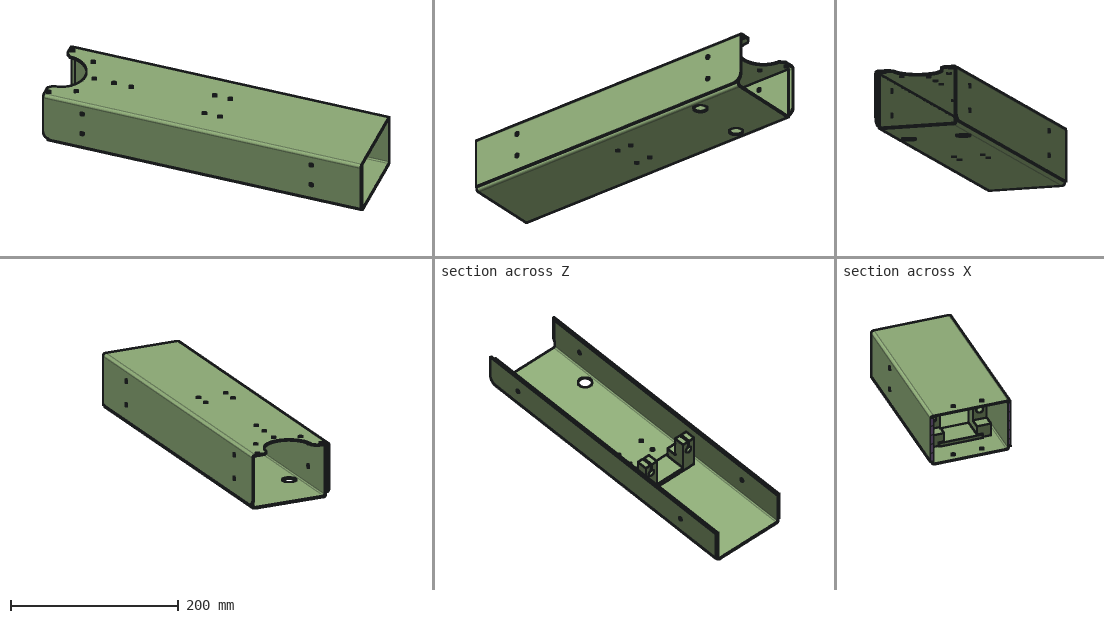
import cadquery as cq

length = 403
width = 102.5
height = 70.0
sheet = 2.0
bend_radius = 3.5

cover_length = 402.0
cover_bottom = 5.0
cover_corner_radius = 10.0
tray_start = 5.2
tray_width = width - 2 * sheet
roof_gap = 1.2
tray_top = height - sheet - roof_gap

mouth_radius = 30.0
mouth_center_x = tray_start

hole_diameter = 4.5
corner_hole = (4.5, 42.5)
mouth_side_hole = (34.5, mouth_radius)
center_hole_xs = (46.7, 71.7, 93.5)
mount_hole_xs = (192.5, 212.5)
mount_hole_y = 18.0
side_hole_xs = (49.5, 339.7)
side_hole_zs = (25.0, 55.0)

floor_opening_radius = 8.5
floor_opening_x = 74.0
floor_opening_y = 34.3

clamp_y = 30.0
clamp_width = 17.7
clamp_top = 45.5
clamp_front = 250
clamp_thickness = 14.0
foot_length = 14.0
foot_top = 18.5
rod_diameter = 8.5
rod_z = 32.0
clamp_slot = 1.5
plate_front = 233.7
plate_width = 55.5
plate_top = 7.0
plate_length = clamp_front + clamp_thickness - plate_front


def box(x_start, x_size, y_center, y_size, z_bottom, z_top):
    """Block given by its X start, Y centre and Z limits."""
    block = cq.Workplane("XY").box(x_size, y_size, z_top - z_bottom, centered=(False, True, False))
    return block.translate((x_start, y_center, z_bottom))


def channel(x_start, x_end, outer_width, bottom, top, open_face, bent_edges):
    """Bent channel with walls one sheet thick, open at both ends and on one long face."""
    x_size = x_end - x_start
    outer = box(x_start, x_size, 0, outer_width, bottom, top).edges(bent_edges).fillet(bend_radius)
    return outer.faces(f"<X or >X or {open_face}").shell(-sheet)


def vertical_holes(points, diameter, z_bottom, z_top):
    """Upright cutting cylinders at the given XY points."""
    plane = cq.Workplane("XY", origin=(0, 0, z_bottom))
    return plane.pushPoints(points).circle(diameter / 2).extrude(z_top - z_bottom)


def mirrored(x, y):
    """The point and its mirror image across the plane of symmetry."""
    return [(x, y), (x, -y)]


mount_holes = [point for x in mount_hole_xs for point in mirrored(x, mount_hole_y)]


def make_tray():
    tray = channel(tray_start, length, tray_width, 0, tray_top, ">Z", "|X and <Z")
    openings = mirrored(floor_opening_x, floor_opening_y)
    tray = tray.cut(vertical_holes(openings, 2 * floor_opening_radius, 0, sheet))
    return tray.cut(vertical_holes(mount_holes, hole_diameter, 0, sheet))


def make_mouth():
    """Cutter for the roof mouth."""
    flare_y = mouth_radius + mouth_center_x
    return (
        cq.Workplane("XY", origin=(0, 0, height - sheet))
        .moveTo(0, -flare_y)
        .lineTo(mouth_center_x, -mouth_radius)
        .threePointArc((mouth_center_x + mouth_radius, 0), (mouth_center_x, mouth_radius))
        .lineTo(0, flare_y)
        .close()
        .extrude(sheet)
    )


def make_cover():
    cover = channel(0, cover_length, width, cover_bottom, height, "<Z", "|X and >Z")
    cover = cover.edges("|Y and <X and <Z").fillet(cover_corner_radius)
    roof_holes = mirrored(*corner_hole) + mirrored(*mouth_side_hole) + mount_holes
    roof_holes += [(x, 0) for x in center_hole_xs]
    cover = cover.cut(vertical_holes(roof_holes, hole_diameter, height - sheet, height))
    return cover.cut(make_mouth())


def make_clamp(y):
    """Split clamp with a bore along X and a low foot in front."""
    post = box(clamp_front, clamp_thickness, y, clamp_width, sheet, clamp_top)
    bore = (
        cq.Workplane("YZ", origin=(clamp_front, y, rod_z))
        .circle(rod_diameter / 2)
        .extrude(clamp_thickness)
    )
    slot = box(clamp_front, clamp_thickness, y, clamp_slot, rod_z, clamp_top)
    foot = box(clamp_front - foot_length, foot_length, y, clamp_width, sheet, foot_top)
    return post.cut(bore).cut(slot).union(foot)


def make_side_holes():
    """Cutters through both side walls."""
    points = [(x, z) for x in side_hole_xs for z in side_hole_zs]
    plane = cq.Workplane("XZ")
    return plane.pushPoints(points).circle(hole_diameter / 2).extrude(width / 2, both=True)


plate = box(plate_front, plate_length, 0, plate_width, sheet, plate_top)

result = make_tray().union(make_cover()).union(plate)
for side in (-1, 1):
    result = result.union(make_clamp(side * clamp_y))
result = result.cut(make_side_holes())